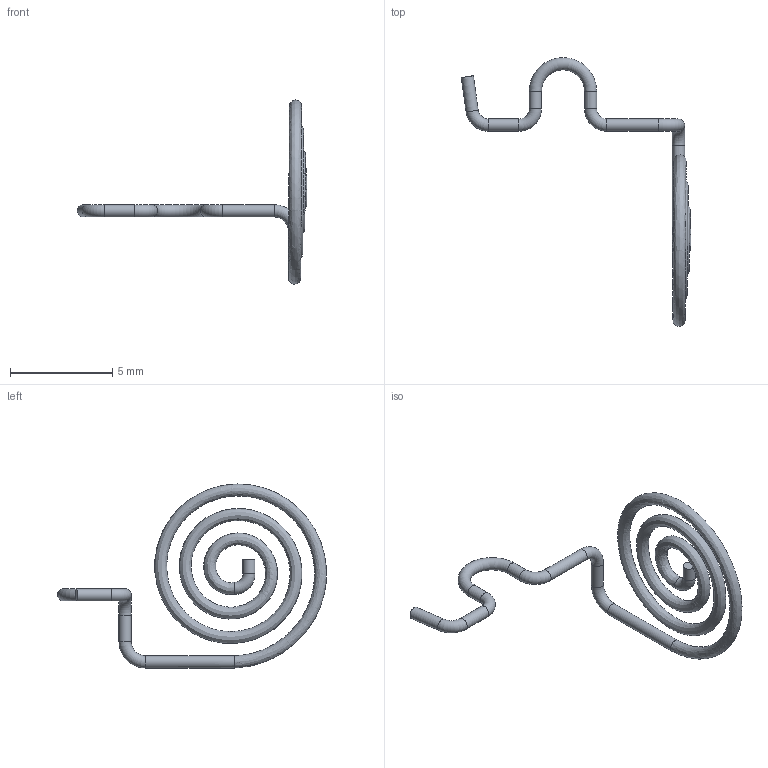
import cadquery as cq
import math

WIRE_RADIUS = 0.3

OUTER_RADIUS = 4.5
TURNS = 3
RADIAL_PITCH = 1.2
AXIAL_PITCH = 0.1
POINTS_PER_TURN = 48
INNER_RADIUS = OUTER_RADIUS - TURNS * RADIAL_PITCH
SPIRAL_RISE = TURNS * AXIAL_PITCH

TAIL_BEND_RADIUS = 0.7
TAIL_LENGTH = 0.7

LEAD_LENGTH = 4.35
LEAD_BEND_RADIUS = 1.0
UPRIGHT_LENGTH = 1.28

SHANK_LENGTH = 2.5
HOOK_BEND_RADIUS = 0.8
ARCH_RADIUS = 1.35
ARCH_LEG_LENGTH = 0.85
BRIDGE_LENGTH = 1.5
TIP_LENGTH = 1.7
TIP_LEAN = 8

LEFT = cq.Vector(-1, 0, 0)
BACK = cq.Vector(0, 1, 0)
FRONT = cq.Vector(0, -1, 0)
UP = cq.Vector(0, 0, 1)


class WirePath:
    """Centre line drawn as straight runs and tangent bends."""

    def __init__(self, start, heading):
        self.start = start
        self.end = start
        self.first_heading = heading
        self.heading = heading
        self.edges = []

    def run(self, length):
        """Go straight ahead."""
        target = self.end + self.heading * length
        self.edges.append(cq.Edge.makeLine(self.end, target))
        self.end = target
        return self

    def bend(self, radius, side, angle=90):
        """Turn by an angle in degrees toward the unit vector `side`, square to the heading."""

        def arc_point(partial_turn):
            ahead = self.heading * (radius * math.sin(partial_turn))
            sideways = side * (radius * (1 - math.cos(partial_turn)))
            return self.end + ahead + sideways

        turn = math.radians(angle)
        target = arc_point(turn)
        self.edges.append(cq.Edge.makeThreePointArc(self.end, arc_point(turn / 2), target))
        self.heading = self.heading * math.cos(turn) + side * math.sin(turn)
        self.end = target
        return self

    def solid(self):
        """Round wire along the centre line."""
        section = cq.Plane(origin=self.start, normal=self.first_heading)
        path = cq.Wire.assembleEdges(self.edges)
        return cq.Workplane(section).circle(WIRE_RADIUS).sweep(path)


def spiral_point(t):
    """Centre line of the spiral, from its outer end (t = 0) to its inner end (t = 1)."""
    angle = 2 * math.pi * TURNS * t
    radius = OUTER_RADIUS + (INNER_RADIUS - OUTER_RADIUS) * t
    return (SPIRAL_RISE * t, -radius * math.sin(angle), -radius * math.cos(angle))


def make_spiral():
    """Spiral whose end faces are both square to Y, so that they match the straight neighbours exactly."""
    path = cq.Workplane("XY").parametricCurve(spiral_point, N=POINTS_PER_TURN * TURNS)
    ends = [cq.Wire.makeCircle(WIRE_RADIUS, cq.Vector(*spiral_point(t)), FRONT) for t in (0, 1)]
    return cq.Workplane(cq.Solid.sweep_multi(ends, path.val(), isFrenet=True))


def make_tail():
    tail = WirePath(cq.Vector(*spiral_point(1)), FRONT)
    tail.bend(TAIL_BEND_RADIUS, UP).run(TAIL_LENGTH)
    return tail.solid()


def make_hook():
    hook = WirePath(cq.Vector(*spiral_point(0)), BACK)
    hook.run(LEAD_LENGTH).bend(LEAD_BEND_RADIUS, UP)
    hook.run(UPRIGHT_LENGTH).bend(LEAD_BEND_RADIUS, LEFT)
    hook.run(SHANK_LENGTH).bend(HOOK_BEND_RADIUS, BACK)
    hook.run(ARCH_LEG_LENGTH).bend(ARCH_RADIUS, LEFT, 180)
    hook.run(ARCH_LEG_LENGTH).bend(HOOK_BEND_RADIUS, LEFT)
    hook.run(BRIDGE_LENGTH).bend(HOOK_BEND_RADIUS, BACK, 90 - TIP_LEAN)
    hook.run(TIP_LENGTH)
    return hook.solid()


result = make_spiral().union(make_tail()).union(make_hook())